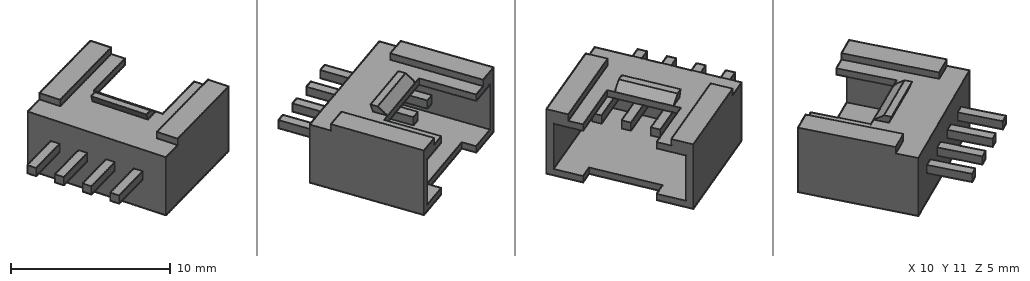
import cadquery as cq

body_width = 10.0
body_depth = 8.0
body_height = 4.5
wall = 0.5

rail_width = 1.5
rail_height = 0.5
rail_start = 1.5

notch_width = 5.0
roof_notch_start = 4.0
floor_notch_start = 7.0

latch_width = 4.0
latch_height = 0.5
latch_back = 2.8
latch_flat = 0.5
latch_undercut = 0.17

pin_count = 4
pin_pitch = 2.0
pin_size = 0.64
pin_back_length = 3.0
pin_tip = 4.5
pin_center_z = 2.5


def block(width, y_start, y_end, z_start, z_end, x_center=0.0):
    """Box centred on x_center that spans the given Y and Z ranges."""
    return (
        cq.Workplane("XY")
        .box(width, y_end - y_start, z_end - z_start, centered=(True, False, False))
        .translate((x_center, y_start, z_start))
    )


def make_housing():
    """Shell with a cavity open at +Y and the mouth cut back in roof and floor."""
    outer = block(body_width, 0, body_depth, 0, body_height)
    cavity = block(body_width - 2 * wall, wall, body_depth, wall, body_height - wall)
    roof_notch = block(notch_width, roof_notch_start, body_depth, body_height - wall, body_height)
    floor_notch = block(notch_width, floor_notch_start, body_depth, 0, wall)
    return outer.cut(cavity).cut(roof_notch).cut(floor_notch)


def make_rail(side):
    """Rail flush with the outer side wall; side is -1 or 1."""
    x_center = side * (body_width - rail_width) / 2
    return block(rail_width, rail_start, body_depth, body_height, body_height + rail_height, x_center)


def make_latch():
    """Ridge with an undercut back, a flat top and a ramp down to the roof notch."""
    top = body_height + latch_height
    profile = [
        (latch_back + latch_undercut, body_height),
        (latch_back, top),
        (latch_back + latch_flat, top),
        (roof_notch_start, body_height),
    ]
    return cq.Workplane("YZ").polyline(profile).close().extrude(latch_width / 2, both=True)


def make_pin(index):
    """Straight pin through the back wall, counted from -X."""
    x_center = (index - (pin_count - 1) / 2) * pin_pitch
    z_bottom = pin_center_z - pin_size / 2
    return block(pin_size, -pin_back_length, pin_tip, z_bottom, z_bottom + pin_size, x_center)


result = make_housing().union(make_latch())
for side in (-1, 1):
    result = result.union(make_rail(side))
for index in range(pin_count):
    result = result.union(make_pin(index))